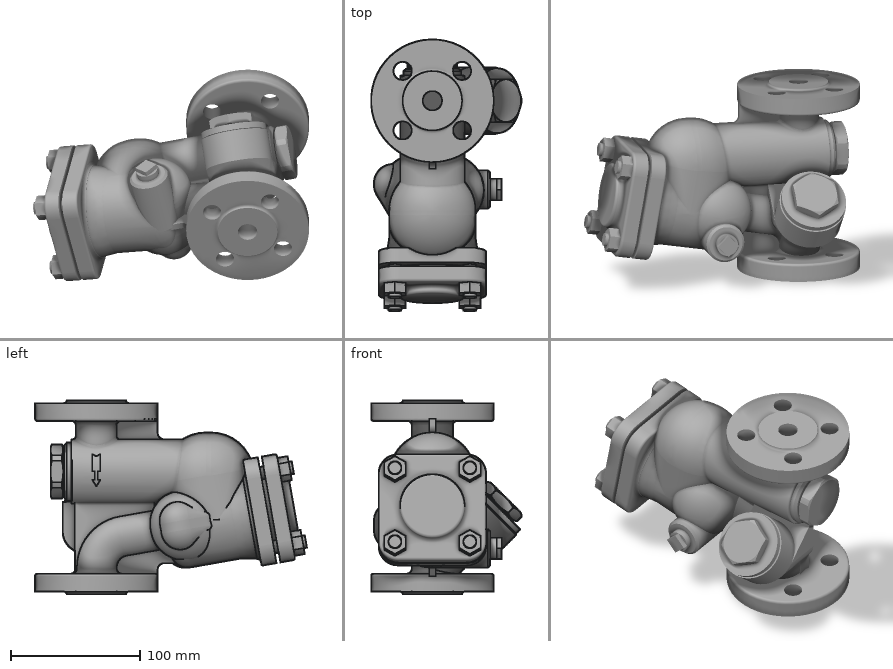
import cadquery as cq
import math

FACE_TO_FACE = 150.0
HALF_HEIGHT = FACE_TO_FACE / 2
TILT = math.radians(10)
SIN_TILT = math.sin(TILT)
COS_TILT = math.cos(TILT)

FLANGE_DIA = 95.0
FLANGE_THICKNESS = 14.0
FLANGE_EDGE_FILLET = 2.0
FACE_DIA = 46.0
FACE_HEIGHT = 2.0
FACE_ROOT_FILLET = 2.0
BOLT_CIRCLE_DIA = 65.0
BOLT_HOLE_DIA = 14.0
BOLT_HOLES = 4
BORE_DIA = 15.0
BORE_DEPTH = 40.0
NECK_DIA = 32.0
TOP_NECK_FILLET = 3.0
BOTTOM_NECK_FILLET = 4.0
FLANGE_BACK = HALF_HEIGHT - FACE_HEIGHT - FLANGE_THICKNESS

BARREL_DIA = 50.0
BARREL_Z = 20.0
BARREL_END_Y = 19.5
BARREL_END_FILLET = 1.0
BARREL_NECK_FILLET = 2.4
BARREL_DOME_FILLET = 1.5
BARREL_WEB_FILLET = 2.0

STUD_TIP = (0, -157.12, -5.5)
CHAMBER_DIA = 66.8
CHAMBER_RADIUS = CHAMBER_DIA / 2
CHAMBER_END = -105.0
CHAMBER_END_FILLET = 14.0
FLARE_START = -52.5
FLARE_DIA = 72.0
FLARE_ROOT_FILLET = 2.5

PLATE_SIDE = 83.3
PLATE_CORNER_RADIUS = 15.3
PLATE_THICKNESS = 11.8
PLATE_FILLET = 2.0
BODY_PLATE_FILLET = 1.5
GASKET_THICKNESS = 3.0
COVER_FACE = -10.5
COVER_BACK = COVER_FACE - PLATE_THICKNESS
BODY_PLATE_FACE = COVER_BACK - GASKET_THICKNESS
BODY_PLATE_BACK = BODY_PLATE_FACE - PLATE_THICKNESS
COVER_BOSS_DIA = 50.0
COVER_BOSS_HEIGHT = 6.0
COVER_BOSS_FILLET = 2.0
COVER_BOSS_ROOT_FILLET = 3.0
STUD_DIA = 10.0
STUD_SPACING = 58.0
NUT_ACROSS_FLATS = 16.5
NUT_HEIGHT = 8.0

DOME_FRONT_Y = -88.6
DOME_REAR_Y = -84.8
DOME_Z = 16.9

CAPSULE_RADIUS = 28.0
CAPSULE_HALF_LENGTH = 12.0
CAPSULE_Y = -69.4
BULB_RADIUS = 15.0
BULB_HALF_LENGTH = 3.7
BULB_X = -30.3
BULB_Y = -64.5
BULB_TAPER = math.radians(31)

DRAIN_Y = -68.7
DRAIN_Z = -39.5
DRAIN_BOSS_DIA = 30.0
DRAIN_BOSS_END = 44.7
DRAIN_BOSS_CHAMFER = 1.8
DRAIN_PLUG_DIA = 16.7
DRAIN_PLUG_SHOULDER = 49.7
DRAIN_PLUG_END = 53.5

PIPE_DIA = NECK_DIA
ELBOW_RADIUS = 25.0

INCLINE = math.radians(45)
INCLINE_BASE_Z = -57.1
INCLINE_NECK_DIA = NECK_DIA
INCLINE_BODY_DIA = 52.0
INCLINE_BODY_START = 42.0
INCLINE_BODY_END = 65.6
INCLINE_GROOVE_DIA = 47.0
INCLINE_CAP_START = 66.3
INCLINE_CAP_DIA = 50.4
INCLINE_CAP_END = 71.0
INCLINE_HEX_START = 72.0
INCLINE_HEX_END = 80.45
INCLINE_HEX_FLATS = 33.0
INCLINE_WALL_X = 1.5
INCLINE_WALL_TOP_Z = -3.5

REAR_CAP_DIA = 45.0
REAR_CAP_END = 24.7
REAR_CAP_CHAMFER = 2.0
REAR_HEX_START = 25.7
REAR_HEX_END = 35.4
REAR_HEX_FLATS = 38.5
REAR_HEX_TURNED_DIA = 42.0
PLUG_NECK_DIA = 30.0
HEX_CHAMFER_SLOPE = math.tan(math.radians(30))

RIB_THICKNESS = 5.0
RIB_REAR_Y = 16.5
RIB_FRONT_Y = -FLANGE_DIA / 2
RIB_LOWER_Z = -51.0
RIB_FILLET = 5.0
WEB_THICKNESS = 11.0
WEB_FRONT_Y = -45.0

ARROW_HEIGHT = 0.5
ARROW_TOP_Z = 33.5
ARROW_NECK_Z = 20.4
ARROW_BARB_Z = 13.5
ARROW_TIP_Z = 8.5
ARROW_HALF_WIDTH = 3.1
ARROW_SHAFT_HALF_WIDTH = 1.1
ARROW_NOTCH = 1.7

DIAGONAL = math.sqrt(0.5)
OUTWARD = f"(0,{-COS_TILT},{SIN_TILT})"
HEX_RATIO = 1 / math.cos(math.pi / 6)


def tilted_plane(distance):
    """Plane square to the chamber axis, its local Y pointing up the cover."""
    return cq.Plane(
        origin=(0, STUD_TIP[1] - distance * COS_TILT, STUD_TIP[2] + distance * SIN_TILT),
        xDir=(1, 0, 0),
        normal=(0, -COS_TILT, SIN_TILT),
    )


def inclined_plane(distance):
    """Plane square to the inclined axis, its local X along the global Y axis."""
    return cq.Plane(
        origin=(distance * math.cos(INCLINE), 0, INCLINE_BASE_Z + distance * math.sin(INCLINE)),
        xDir=(0, 1, 0),
        normal=(math.cos(INCLINE), 0, math.sin(INCLINE)),
    )


def rear_plane(y):
    """Plane square to the barrel axis, facing +Y, its local X pointing up."""
    return cq.Plane(origin=(0, y, BARREL_Z), xDir=(0, 0, 1), normal=(0, 1, 0))


def disc(plane, diameter, length):
    return cq.Workplane(plane).circle(diameter / 2).extrude(length)


def ball(radius, centre):
    return cq.Workplane("XY").sphere(radius).translate(centre)


def chamber_axis_z(y):
    return STUD_TIP[2] - (y - STUD_TIP[1]) * math.tan(TILT)


def root_fillet(distance, diameter, radius, direction):
    """Round skirt blending a cylinder on the chamber axis into the plate face it stands on."""
    half = diameter / 2
    skirt = (
        cq.Workplane("XZ")
        .lineTo(half + radius, 0)
        .threePointArc(
            (half + radius * (1 - DIAGONAL), direction * radius * (1 - DIAGONAL)),
            (half, direction * radius),
        )
        .lineTo(0, direction * radius)
        .close()
        .revolve(360, (0, 0, 0), (0, 1, 0))
    )
    return cq.Workplane(skirt.val().moved(cq.Location(tilted_plane(distance))))


def plug_hexagon(plane, across_flats, turned_dia, length):
    """Hexagon with corners on local X, turned to a diameter and chamfered down to its flats."""
    radial = (turned_dia - across_flats) / 2
    turned = disc(plane, turned_dia, length).edges("%CIRCLE").chamfer(radial * HEX_CHAMFER_SLOPE, radial)
    return cq.Workplane(plane).polygon(6, across_flats * HEX_RATIO).extrude(length).intersect(turned)


ELBOW_SETBACK = ELBOW_RADIUS * math.tan((math.pi / 2 - TILT) / 2)
ELBOW_START = (0, chamber_axis_z(0) - ELBOW_SETBACK)
ELBOW_END = (-ELBOW_SETBACK * COS_TILT, chamber_axis_z(-ELBOW_SETBACK * COS_TILT))


def upper_flange(neck_fillet):
    """Pipe flange with raised face, neck and bolt holes, its face at the top."""
    edge = FLANGE_DIA / 2
    neck = NECK_DIA / 2
    face = FACE_DIA / 2
    front = HALF_HEIGHT - FACE_HEIGHT
    inset = 1 - DIAGONAL
    profile = (
        cq.Workplane("XZ")
        .moveTo(0, FLANGE_BACK - neck_fillet)
        .lineTo(neck, FLANGE_BACK - neck_fillet)
        .threePointArc(
            (neck + neck_fillet * inset, FLANGE_BACK - neck_fillet * inset),
            (neck + neck_fillet, FLANGE_BACK),
        )
        .lineTo(edge - FLANGE_EDGE_FILLET, FLANGE_BACK)
        .threePointArc(
            (edge - FLANGE_EDGE_FILLET * inset, FLANGE_BACK + FLANGE_EDGE_FILLET * inset),
            (edge, FLANGE_BACK + FLANGE_EDGE_FILLET),
        )
        .lineTo(edge, front)
        .lineTo(face + FACE_ROOT_FILLET, front)
        .threePointArc(
            (face + FACE_ROOT_FILLET * inset, front + FACE_ROOT_FILLET * inset),
            (face, HALF_HEIGHT),
        )
        .lineTo(0, HALF_HEIGHT)
        .close()
    )
    holes = (
        cq.Workplane("XY", origin=(0, 0, FLANGE_BACK))
        .polarArray(BOLT_CIRCLE_DIA / 2, 360 / BOLT_HOLES / 2, 360, BOLT_HOLES)
        .circle(BOLT_HOLE_DIA / 2)
        .extrude(FLANGE_THICKNESS)
    )
    return profile.revolve(360, (0, 0, 0), (0, 1, 0)).cut(holes)


def barrel():
    """Horizontal barrel with the upper neck blended into it."""
    length = BARREL_END_Y - DOME_REAR_Y
    tube = disc(rear_plane(DOME_REAR_Y), BARREL_DIA, length).faces(">Y").edges().fillet(BARREL_END_FILLET)
    neck_top = FLANGE_BACK - TOP_NECK_FILLET
    neck = cq.Workplane("XY", origin=(0, 0, BARREL_Z)).circle(NECK_DIA / 2).extrude(neck_top - BARREL_Z)
    joint_zone = cq.selectors.BoxSelector(
        (-NECK_DIA, -NECK_DIA / 2 - 1, BARREL_Z + 1),
        (NECK_DIA, NECK_DIA / 2 + 1, neck_top - 1),
    )
    return tube.union(neck).edges(joint_zone).fillet(BARREL_NECK_FILLET)


def rear_plug():
    cap = disc(rear_plane(BARREL_END_Y), REAR_CAP_DIA, REAR_CAP_END - BARREL_END_Y)
    cap = cap.faces(">Y").edges().chamfer(REAR_CAP_CHAMFER)
    neck = disc(rear_plane(REAR_CAP_END), PLUG_NECK_DIA, REAR_HEX_START - REAR_CAP_END)
    head = plug_hexagon(
        rear_plane(REAR_HEX_START),
        REAR_HEX_FLATS,
        REAR_HEX_TURNED_DIA,
        REAR_HEX_END - REAR_HEX_START,
    )
    return cap.union(neck).union(head)


def chamber():
    """Tilted cylinder with a rounded rear end and a flare behind the body plate."""
    body = disc(tilted_plane(CHAMBER_END), CHAMBER_DIA, BODY_PLATE_BACK - CHAMBER_END)
    body = body.faces("<" + OUTWARD).edges().fillet(CHAMBER_END_FILLET)
    flare = (
        cq.Workplane(tilted_plane(FLARE_START))
        .circle(CHAMBER_RADIUS)
        .workplane(offset=BODY_PLATE_BACK - FLARE_START)
        .circle(FLARE_DIA / 2)
        .loft()
    )
    skirt = root_fillet(BODY_PLATE_BACK, FLARE_DIA, FLARE_ROOT_FILLET, -1)
    return body.union(flare).union(skirt)


def dome():
    """Rounded hood over the chamber: a short capsule on a column square to the chamber."""
    front = (DOME_FRONT_Y, DOME_Z)
    rear = (DOME_REAR_Y, DOME_Z)
    drop = (DOME_Z - chamber_axis_z(DOME_REAR_Y)) * COS_TILT
    down = (-drop * SIN_TILT, -drop * COS_TILT)
    core = (
        cq.Workplane("YZ")
        .moveTo(*front)
        .lineTo(*rear)
        .line(*down)
        .line(DOME_FRONT_Y - DOME_REAR_Y, 0)
        .close()
        .extrude(CHAMBER_RADIUS, both=True)
    )
    front_plane = cq.Plane(origin=(0, DOME_FRONT_Y, DOME_Z), xDir=(1, 0, 0), normal=(0, 1, 0))
    hood = disc(front_plane, CHAMBER_DIA, DOME_REAR_Y - DOME_FRONT_Y)
    hood = hood.union(core)
    for y in (DOME_FRONT_Y, DOME_REAR_Y):
        column = cq.Plane(origin=(0, y, DOME_Z), xDir=(1, 0, 0), normal=(0, -SIN_TILT, -COS_TILT))
        hood = hood.union(disc(column, CHAMBER_DIA, drop)).union(ball(CHAMBER_RADIUS, (0, y, DOME_Z)))
    return hood


def cover_plate(back, fillet, filleted_face):
    plate = cq.Workplane(tilted_plane(back)).rect(PLATE_SIDE, PLATE_SIDE).extrude(PLATE_THICKNESS)
    plate = plate.edges("|" + OUTWARD).fillet(PLATE_CORNER_RADIUS)
    return plate.faces(filleted_face).edges().fillet(fillet)


def cover():
    """Body plate, gasket, cover with its round boss, and four studs with nuts."""
    top_plate = cover_plate(COVER_BACK, PLATE_FILLET, ">" + OUTWARD)
    boss = disc(tilted_plane(COVER_FACE), COVER_BOSS_DIA, COVER_BOSS_HEIGHT)
    boss = boss.faces(">" + OUTWARD).edges().fillet(COVER_BOSS_FILLET)
    root = root_fillet(COVER_FACE, COVER_BOSS_DIA, COVER_BOSS_ROOT_FILLET, 1)
    assembly = cover_plate(BODY_PLATE_BACK, BODY_PLATE_FILLET, "<" + OUTWARD)
    assembly = assembly.union(disc(tilted_plane(BODY_PLATE_FACE), CHAMBER_DIA, GASKET_THICKNESS))
    assembly = assembly.union(top_plate).union(root).union(boss)
    studs = (
        cq.Workplane(tilted_plane(BODY_PLATE_FACE))
        .rect(STUD_SPACING, STUD_SPACING, forConstruction=True)
        .vertices()
        .circle(STUD_DIA / 2)
        .extrude(-BODY_PLATE_FACE)
    )
    for x in (-STUD_SPACING / 2, STUD_SPACING / 2):
        for y in (-STUD_SPACING / 2, STUD_SPACING / 2):
            nut = (
                cq.Workplane(tilted_plane(COVER_FACE))
                .center(x, y)
                .transformed(rotate=(0, 0, 90))
                .polygon(6, NUT_ACROSS_FLATS * HEX_RATIO)
                .extrude(NUT_HEIGHT)
            )
            assembly = assembly.union(nut)
    return assembly.union(studs)


def cross_capsule():
    """Cylinder across the chamber with a hemisphere on each end."""
    arc = CAPSULE_RADIUS * DIAGONAL
    tip = CAPSULE_HALF_LENGTH + CAPSULE_RADIUS
    profile = (
        cq.Workplane("XY")
        .moveTo(-tip, 0)
        .threePointArc((-CAPSULE_HALF_LENGTH - arc, arc), (-CAPSULE_HALF_LENGTH, CAPSULE_RADIUS))
        .lineTo(CAPSULE_HALF_LENGTH, CAPSULE_RADIUS)
        .threePointArc((CAPSULE_HALF_LENGTH + arc, arc), (tip, 0))
        .close()
    )
    capsule = profile.revolve(360, (0, 0, 0), (1, 0, 0))
    return capsule.translate((0, CAPSULE_Y, chamber_axis_z(CAPSULE_Y)))


def side_bulb():
    """Bulb on the -X side with tangent flanks that taper into the chamber wall."""
    tangent_along = BULB_RADIUS * math.sin(BULB_TAPER)
    tangent_radius = BULB_RADIUS * math.cos(BULB_TAPER)
    apex = BULB_RADIUS / math.sin(BULB_TAPER)
    half_profile = (
        cq.Workplane("XZ")
        .moveTo(0, -BULB_RADIUS)
        .threePointArc((BULB_RADIUS, 0), (tangent_radius, tangent_along))
        .lineTo(0, apex)
        .close()
    )
    profile = (
        cq.Workplane("XZ")
        .moveTo(-tangent_radius, tangent_along)
        .threePointArc((0, -BULB_RADIUS), (tangent_radius, tangent_along))
        .lineTo(0, apex)
        .close()
    )
    teardrop = half_profile.revolve(360, (0, 0, 0), (0, 1, 0))
    bulb = profile.extrude(BULB_HALF_LENGTH, both=True)
    for offset in (-BULB_HALF_LENGTH, BULB_HALF_LENGTH):
        bulb = bulb.union(teardrop.translate((0, offset, 0)))
    seat = cq.Plane(
        origin=(BULB_X, BULB_Y, chamber_axis_z(BULB_Y)),
        xDir=(1, 0, 0),
        normal=(0, -COS_TILT, SIN_TILT),
    )
    return cq.Workplane(bulb.val().moved(cq.Location(seat)))


def drain():
    start = cq.Plane(origin=(0, DRAIN_Y, DRAIN_Z), xDir=(0, 1, 0), normal=(1, 0, 0))
    boss = disc(start, DRAIN_BOSS_DIA, DRAIN_BOSS_END).faces(">X").edges().chamfer(DRAIN_BOSS_CHAMFER)
    plug = disc(start, DRAIN_PLUG_DIA, DRAIN_PLUG_SHOULDER)
    head = cq.Workplane(start).polygon(4, DRAIN_PLUG_DIA).extrude(DRAIN_PLUG_END)
    return boss.union(plug).union(head)


def elbow():
    """Outlet pipe: up from the lower flange, then along the chamber axis."""
    turn = math.pi / 2 - TILT
    bend_z = ELBOW_START[1]
    path = (
        cq.Workplane("YZ")
        .moveTo(0, -FLANGE_BACK)
        .lineTo(*ELBOW_START)
        .threePointArc(
            (-ELBOW_RADIUS * (1 - math.cos(turn / 2)), bend_z + ELBOW_RADIUS * math.sin(turn / 2)),
            ELBOW_END,
        )
        .lineTo(CAPSULE_Y, chamber_axis_z(CAPSULE_Y))
    )
    return cq.Workplane("XY", origin=(0, 0, -FLANGE_BACK)).circle(PIPE_DIA / 2).sweep(path)


def inclined_body():
    """Body leaning toward +X from the lower flange, closed by a hexagon plug."""
    neck = disc(inclined_plane(0), INCLINE_NECK_DIA, INCLINE_BODY_START)
    below_flange = disc(cq.Plane.XY((0, 0, -FLANGE_BACK)), FLANGE_DIA, -FLANGE_DIA)
    body = disc(inclined_plane(INCLINE_BODY_START), INCLINE_BODY_DIA, INCLINE_BODY_END - INCLINE_BODY_START)
    groove = disc(inclined_plane(INCLINE_BODY_END), INCLINE_GROOVE_DIA, INCLINE_CAP_START - INCLINE_BODY_END)
    cap = disc(inclined_plane(INCLINE_CAP_START), INCLINE_CAP_DIA, INCLINE_CAP_END - INCLINE_CAP_START)
    plug_neck = disc(inclined_plane(INCLINE_CAP_END), PLUG_NECK_DIA, INCLINE_HEX_START - INCLINE_CAP_END)
    head = plug_hexagon(
        inclined_plane(INCLINE_HEX_START).rotated((0, 0, 90)),
        INCLINE_HEX_FLATS,
        INCLINE_HEX_FLATS * HEX_RATIO,
        INCLINE_HEX_END - INCLINE_HEX_START,
    )
    return neck.cut(below_flange).union(body).union(groove).union(cap).union(plug_neck).union(head)


def rib():
    """Thin web in the middle plane, tying the flanges to the barrel and the chamber."""
    barrel_top = BARREL_Z + BARREL_DIA / 2
    bottom = -FLANGE_BACK - FLANGE_EDGE_FILLET
    top = FLANGE_BACK + FLANGE_EDGE_FILLET
    arc = RIB_FILLET * (1 - DIAGONAL)
    outline = (
        cq.Workplane("YZ")
        .moveTo(RIB_REAR_Y, bottom)
        .lineTo(RIB_FRONT_Y, bottom)
        .lineTo(RIB_FRONT_Y, RIB_LOWER_Z - RIB_FILLET)
        .threePointArc(
            (RIB_FRONT_Y - arc, RIB_LOWER_Z - arc),
            (RIB_FRONT_Y - RIB_FILLET, RIB_LOWER_Z),
        )
        .lineTo(CAPSULE_Y, RIB_LOWER_Z)
        .lineTo(CAPSULE_Y, BARREL_Z)
        .lineTo(RIB_FRONT_Y - RIB_FILLET, barrel_top)
        .threePointArc(
            (RIB_FRONT_Y - arc, barrel_top + arc),
            (RIB_FRONT_Y, barrel_top + RIB_FILLET),
        )
        .lineTo(RIB_FRONT_Y, top)
        .lineTo(0, top)
        .lineTo(0, BARREL_Z)
        .lineTo(RIB_REAR_Y, BARREL_Z)
        .close()
    )
    return outline.extrude(RIB_THICKNESS / 2, both=True)


def web():
    """Thick wall in the middle plane that fills the corner between barrel and elbow."""
    outline = (
        cq.Workplane("YZ")
        .polyline([
            (RIB_REAR_Y, -FLANGE_BACK - FLANGE_EDGE_FILLET),
            (0, -FLANGE_BACK - FLANGE_EDGE_FILLET),
            ELBOW_START,
            ELBOW_END,
            (WEB_FRONT_Y, chamber_axis_z(WEB_FRONT_Y)),
            (WEB_FRONT_Y, BARREL_Z),
            (RIB_REAR_Y, BARREL_Z),
        ])
        .close()
    )
    return outline.extrude(WEB_THICKNESS / 2, both=True)


def inclined_wall():
    """Straight continuation of the inclined body's base toward -X, under the barrel."""
    half_width = INCLINE_BODY_DIA / 2
    base_x = INCLINE_BODY_START * math.cos(INCLINE)
    base_z = INCLINE_BASE_Z + INCLINE_BODY_START * math.sin(INCLINE)
    depth = half_width * math.sin(INCLINE)
    reach = base_x + depth - INCLINE_WALL_X
    wall = cq.Workplane("YZ", origin=(INCLINE_WALL_X, 0, base_z)).ellipse(half_width, depth).extrude(reach)
    upper_height = INCLINE_WALL_TOP_Z - base_z
    upper = (
        cq.Workplane("YZ", origin=(INCLINE_WALL_X, 0, base_z + upper_height / 2))
        .rect(INCLINE_BODY_DIA, upper_height)
        .extrude(base_x - INCLINE_WALL_X)
    )
    beyond_base = disc(inclined_plane(INCLINE_BODY_START), FLANGE_DIA, FLANGE_DIA)
    return wall.union(upper).cut(beyond_base)


def blended_barrel():
    """Barrel, dome and web with rounded joints between them."""
    dome_joint = cq.selectors.BoxSelector(
        (-CHAMBER_RADIUS, DOME_REAR_Y + 1, BARREL_Z - BARREL_DIA / 2 - 1),
        (CHAMBER_RADIUS, RIB_FRONT_Y, BARREL_Z + BARREL_DIA / 2 + 1),
        boundingbox=True,
    )
    body = barrel().union(dome()).edges(dome_joint).fillet(BARREL_DOME_FILLET)
    web_joint = cq.selectors.BoxSelector(
        (-WEB_THICKNESS, WEB_FRONT_Y - 1, BARREL_Z - BARREL_DIA / 2),
        (WEB_THICKNESS, RIB_REAR_Y + 1, BARREL_Z - BARREL_DIA / 2 + 2),
        boundingbox=True,
    )
    return body.union(web()).edges(web_joint).edges("|Y").fillet(BARREL_WEB_FILLET)


def flow_arrow():
    """Raised arrow following the barrel surface, pointing down."""
    outline = (
        cq.Workplane("YZ")
        .polyline([
            (0, ARROW_TOP_Z - ARROW_NOTCH),
            (ARROW_HALF_WIDTH, ARROW_TOP_Z),
            (ARROW_HALF_WIDTH, ARROW_NECK_Z),
            (ARROW_SHAFT_HALF_WIDTH, ARROW_NECK_Z),
            (ARROW_SHAFT_HALF_WIDTH, ARROW_BARB_Z),
            (ARROW_HALF_WIDTH, ARROW_BARB_Z),
            (0, ARROW_TIP_Z),
        ])
        .mirrorY()
        .extrude(-BARREL_DIA)
    )
    shell = disc(rear_plane(-BARREL_DIA / 2), BARREL_DIA + 2 * ARROW_HEIGHT, BARREL_DIA)
    return outline.intersect(shell)


top_flange = upper_flange(TOP_NECK_FILLET)
bottom_flange = upper_flange(BOTTOM_NECK_FILLET).mirror("XY")

result = blended_barrel()
for feature in (
    chamber(),
    cross_capsule(),
    side_bulb(),
    drain(),
    elbow(),
    rib(),
    inclined_body(),
    inclined_wall(),
    rear_plug(),
    flow_arrow(),
    cover(),
    top_flange,
    bottom_flange,
):
    result = result.union(feature)

for end in (-1, 1):
    bore = disc(cq.Plane.XY((0, 0, end * HALF_HEIGHT)), BORE_DIA, -end * BORE_DEPTH)
    result = result.cut(bore)